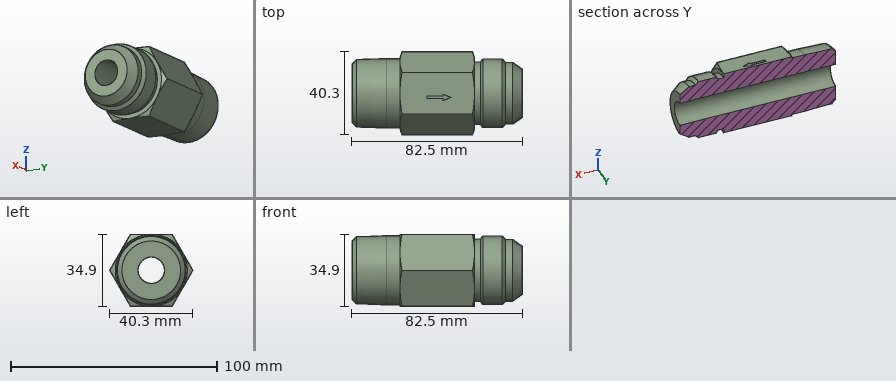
import cadquery as cq
import math

overall_length = 82.55
bore_diameter = 12.7

hex_start = 23.2
hex_end = 59.3
hex_across_flats = 34.925
hex_across_corners = hex_across_flats / math.cos(math.pi / 6)
hex_chamfer_angle = math.radians(20)

taper_large_diameter = 33.71
taper_ratio = 1 / 16
taper_start = 2.1
taper_end = 16.65
taper_small_diameter = taper_large_diameter - (taper_end - taper_start) * taper_ratio
taper_face_diameter = 28.4

neck_diameter = 30.4
neck_end = 62.3
collar_diameter = 33.33
collar_start = 63.3
collar_end = 72.7
nose_diameter = 30.05
nose_start = collar_end + (collar_diameter - nose_diameter) / 2
cone_start = 77.75
cone_tip_diameter = 23.35

arrow_tail_x = 36.4
arrow_head_x = 44.1
arrow_tip_x = 47.9
arrow_center_y = -2.0
arrow_shaft_width = 1.25
arrow_head_width = 2.9
arrow_depth = 0.1


def revolve_about_x(stations):
    """Solid of revolution from (x, diameter) stations."""
    first_x = stations[0][0]
    last_x = stations[-1][0]
    points = [(first_x, 0)]
    points += [(x, diameter / 2) for x, diameter in stations]
    points.append((last_x, 0))
    return cq.Workplane("XY").polyline(points).close().revolve(360, (0, 0, 0), (1, 0, 0))


def make_hex_body():
    """Hexagonal prism with flats on top and bottom, its corners chamfered by cones."""
    length = hex_end - hex_start
    prism = cq.Workplane("YZ", origin=(hex_start, 0, 0)).polygon(6, hex_across_corners).extrude(length)
    corner_height = (hex_across_corners - hex_across_flats) / 2
    chamfer_length = corner_height * math.tan(hex_chamfer_angle)
    envelope = revolve_about_x([
        (hex_start, hex_across_flats),
        (hex_start + chamfer_length, hex_across_corners),
        (hex_end - chamfer_length, hex_across_corners),
        (hex_end, hex_across_flats),
    ])
    return prism.intersect(envelope)


def make_taper_end():
    """Chamfered 1:16 taper followed by a straight run up to the hexagon."""
    return revolve_about_x([
        (0, taper_face_diameter),
        (taper_start, taper_small_diameter),
        (taper_end, taper_large_diameter),
        (hex_start, taper_large_diameter),
    ])


def make_flared_end():
    """Neck relief, chamfered collar and a plain nose closing in a cone."""
    return revolve_about_x([
        (hex_end, neck_diameter),
        (neck_end, neck_diameter),
        (collar_start, collar_diameter),
        (collar_end, collar_diameter),
        (nose_start, nose_diameter),
        (cone_start, nose_diameter),
        (overall_length, cone_tip_diameter),
    ])


def make_bore():
    """Cutter for the straight bore through the whole length."""
    return cq.Workplane("YZ").circle(bore_diameter / 2).extrude(overall_length)


def make_flow_arrow():
    """Cutter for the shallow arrow in the top flat."""
    shaft_half = arrow_shaft_width / 2
    head_half = arrow_head_width / 2
    outline = [
        (arrow_tail_x, -shaft_half),
        (arrow_head_x, -shaft_half),
        (arrow_head_x, -head_half),
        (arrow_tip_x, 0),
        (arrow_head_x, head_half),
        (arrow_head_x, shaft_half),
        (arrow_tail_x, shaft_half),
    ]
    top_flat = cq.Workplane("XY", origin=(0, arrow_center_y, hex_across_flats / 2))
    return top_flat.polyline(outline).close().extrude(-arrow_depth)


body = make_hex_body().union(make_taper_end()).union(make_flared_end())
result = body.cut(make_bore()).cut(make_flow_arrow())